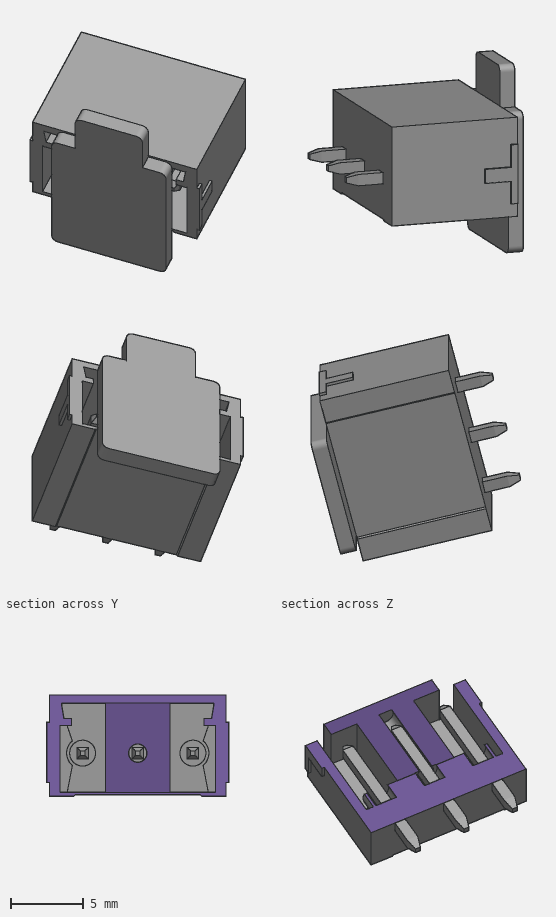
import cadquery as cq


HOUSING_WIDTH = 12.23
HOUSING_DEPTH = 9.2
HOUSING_HEIGHT = 7.05
FLOOR_Z = 0.3
CEILING_Z = 6.45
CAVITY_DEPTH = 5.85
LOWER_HALF_WIDTH = 5.37
UPPER_HALF_WIDTH = 5.11
CEILING_HALF_WIDTH = 5.28
RIB_HALF_GAP = 4.58
RIB_BOTTOM_Z = 4.9
RIB_TOP_Z = 5.41

SOCKET_DEPTH = 1.3
SOCKET_DIAMETER = 1.8
SLEEVE_DIAMETER = 2.21
POCKET_END_HALF = 4.89
POCKET_WAIST_HALF = 4.52
POCKET_WAIST_BOTTOM_Z = 2.17
POCKET_WAIST_TOP_Z = 3.82

GROOVE_WIDTH = 8.89
GROOVE_DEPTH = 0.1

LUG_THICKNESS = 0.2
LUG_Z = 3.05
LUG_BAR_HEIGHT = 4.2
LUG_BAR_DEPTH = 0.5
LUG_STEM_HEIGHT = 1.0
LUG_STEM_DEPTH = 2.4

PIN_PITCH = 3.82
PIN_COUNT = 3
PIN_Z = 3.0
PIN_SIZE = 0.8
FRONT_TIP_SIZE = 0.31
FRONT_TAPER_LENGTH = 0.45
BACK_TIP_SIZE = 0.39
BACK_TAPER_LENGTH = 0.8
PIN_FRONT_Y = 1.16
PIN_PROJECTION = 2.59

CAP_THICKNESS = 1.1
CAP_WIDTH = 8.53
CAP_BODY_HEIGHT = 10.0
CAP_TOTAL_HEIGHT = 13.0
CAP_TAB_WIDTH = 5.02
CAP_BOTTOM_Z = -3.1
CAP_CORNER_RADIUS = 0.5
LEG_WIDTH = 4.5
LEG_BORE_DIAMETER = 1.25

PIN_POSITIONS = [(i - (PIN_COUNT - 1) / 2) * PIN_PITCH for i in range(PIN_COUNT)]


def box(x_range, y_range, z_range):
    """Box between two limits on each axis."""
    size = [high - low for low, high in (x_range, y_range, z_range)]
    return cq.Workplane("XY").box(*size, centered=False).translate(
        (x_range[0], y_range[0], z_range[0])
    )


def prism(points, y_start, y_end):
    """Outline of (x, z) points extruded along Y."""
    return cq.Workplane("XZ", origin=(0, y_start, 0)).polyline(points).close().extrude(y_start - y_end)


def rod(x, diameter, y_start, y_end):
    """Round bar along Y on the axis of the pin at x."""
    return (
        cq.Workplane("XZ", origin=(x, y_start, PIN_Z))
        .circle(diameter / 2)
        .extrude(y_start - y_end)
    )


def make_cavity():
    right_side = [
        (LOWER_HALF_WIDTH, FLOOR_Z),
        (LOWER_HALF_WIDTH, RIB_BOTTOM_Z),
        (RIB_HALF_GAP, RIB_BOTTOM_Z),
        (RIB_HALF_GAP, RIB_TOP_Z),
        (UPPER_HALF_WIDTH, RIB_TOP_Z),
        (CEILING_HALF_WIDTH, CEILING_Z),
    ]
    left_side = [(-x, z) for x, z in reversed(right_side)]
    return prism(right_side + left_side, 0, CAVITY_DEPTH)


def make_side_pocket(side):
    """Recess between a side wall and the sleeve of the outer socket; side is -1 or 1."""
    outline = [
        (side * LOWER_HALF_WIDTH, FLOOR_Z),
        (side * POCKET_END_HALF, FLOOR_Z),
        (side * POCKET_WAIST_HALF, POCKET_WAIST_BOTTOM_Z),
        (side * POCKET_WAIST_HALF, POCKET_WAIST_TOP_Z),
        (side * POCKET_END_HALF, RIB_BOTTOM_Z),
        (side * LOWER_HALF_WIDTH, RIB_BOTTOM_Z),
    ]
    pocket_end = CAVITY_DEPTH + SOCKET_DEPTH
    sleeve = rod(side * PIN_POSITIONS[-1], SLEEVE_DIAMETER, CAVITY_DEPTH, pocket_end)
    return prism(outline, CAVITY_DEPTH, pocket_end).cut(sleeve)


def make_groove():
    """Shallow groove with sides sloping at 45 degrees."""
    outer = GROOVE_WIDTH / 2
    inner = outer - GROOVE_DEPTH
    outline = [(-outer, 0), (outer, 0), (inner, GROOVE_DEPTH), (-inner, GROOVE_DEPTH)]
    return prism(outline, 0, HOUSING_DEPTH)


def make_lug(side):
    """T-shaped lug on a side wall; side is -1 or 1."""
    wall = side * HOUSING_WIDTH / 2
    x_range = sorted((wall, wall + side * LUG_THICKNESS))
    bar_z = (LUG_Z - LUG_BAR_HEIGHT / 2, LUG_Z + LUG_BAR_HEIGHT / 2)
    stem_z = (LUG_Z - LUG_STEM_HEIGHT / 2, LUG_Z + LUG_STEM_HEIGHT / 2)
    bar = box(x_range, (0, LUG_BAR_DEPTH), bar_z)
    return bar.union(box(x_range, (0, LUG_STEM_DEPTH), stem_z))


def make_pin_tip(x, base_y, end_y, end_size):
    """Square taper along Y from the full pin section to a smaller end."""
    return (
        cq.Workplane("XZ", origin=(x, base_y, PIN_Z))
        .rect(PIN_SIZE, PIN_SIZE)
        .workplane(offset=base_y - end_y)
        .rect(end_size, end_size)
        .loft(ruled=True)
    )


def make_pin(x):
    """Square pin along Y with a tapered tip at each end."""
    half = PIN_SIZE / 2
    pin_back_y = HOUSING_DEPTH + PIN_PROJECTION
    shank_start = PIN_FRONT_Y + FRONT_TAPER_LENGTH
    shank_end = pin_back_y - BACK_TAPER_LENGTH
    shank = box((x - half, x + half), (shank_start, shank_end), (PIN_Z - half, PIN_Z + half))
    front_tip = make_pin_tip(x, shank_start, PIN_FRONT_Y, FRONT_TIP_SIZE)
    back_tip = make_pin_tip(x, shank_end, pin_back_y, BACK_TIP_SIZE)
    return shank.union(front_tip).union(back_tip)


def make_housing(pins):
    body = box((-HOUSING_WIDTH / 2, HOUSING_WIDTH / 2), (0, HOUSING_DEPTH), (0, HOUSING_HEIGHT))
    body = body.cut(make_cavity()).cut(make_groove())
    for side in (-1, 1):
        body = body.cut(make_side_pocket(side)).union(make_lug(side))
    for x in PIN_POSITIONS:
        body = body.cut(rod(x, SOCKET_DIAMETER, CAVITY_DEPTH, CAVITY_DEPTH + SOCKET_DEPTH))
    for pin in pins:
        body = body.cut(pin)
    return body


def make_cap():
    """Plate with a narrower tab on top and a leg that fills the middle of the cavity."""
    plate_y = (-CAP_THICKNESS, 0)
    shoulder_z = CAP_BOTTOM_Z + CAP_BODY_HEIGHT
    top_z = CAP_BOTTOM_Z + CAP_TOTAL_HEIGHT
    plate = box((-CAP_WIDTH / 2, CAP_WIDTH / 2), plate_y, (CAP_BOTTOM_Z, shoulder_z))
    plate = plate.edges("|Y").fillet(CAP_CORNER_RADIUS)
    tab_start_z = shoulder_z - CAP_CORNER_RADIUS
    tab = box((-CAP_TAB_WIDTH / 2, CAP_TAB_WIDTH / 2), plate_y, (tab_start_z, top_z))
    tab = tab.edges("|Y and >Z").fillet(CAP_CORNER_RADIUS)
    leg = box((-LEG_WIDTH / 2, LEG_WIDTH / 2), (0, CAVITY_DEPTH), (FLOOR_Z, CEILING_Z))
    leg = leg.cut(rod(0, LEG_BORE_DIAMETER, 0, CAVITY_DEPTH))
    return plate.union(tab).union(leg)


pins = [make_pin(x) for x in PIN_POSITIONS]
housing = make_housing(pins)
cap = make_cap()

result = cq.Compound.makeCompound([housing.val(), cap.val(), *[pin.val() for pin in pins]])